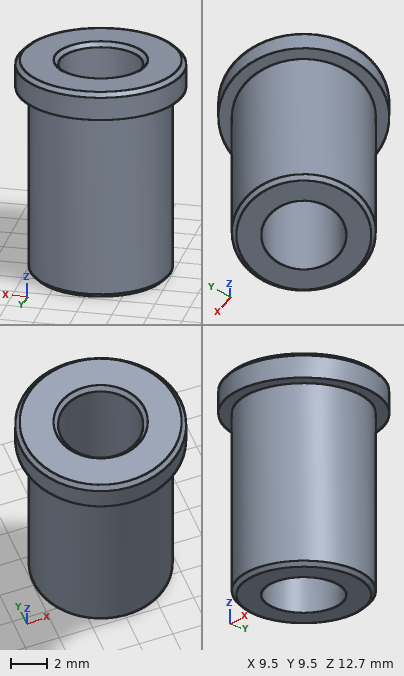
import cadquery as cq

total_height = 12.7
flange_diameter = 9.5
flange_thickness = 1.6
sleeve_diameter = 8.0
bore_diameter = 4.72

edge_chamfer = 0.25

sleeve = (
    cq.Workplane("XY")
    .circle(sleeve_diameter / 2)
    .extrude(total_height)
    .faces("<Z")
    .chamfer(edge_chamfer)
)

flange = (
    cq.Workplane("XY")
    .workplane(offset=total_height - flange_thickness)
    .circle(flange_diameter / 2)
    .extrude(flange_thickness)
    .faces(">Z")
    .chamfer(edge_chamfer)
)

bore = cq.Workplane("XY").circle(bore_diameter / 2).extrude(total_height)
bushing = sleeve.union(flange).cut(bore)
bore_mouth = bushing.faces(">Z").edges(cq.selectors.RadiusNthSelector(0))
result = bore_mouth.chamfer(edge_chamfer)